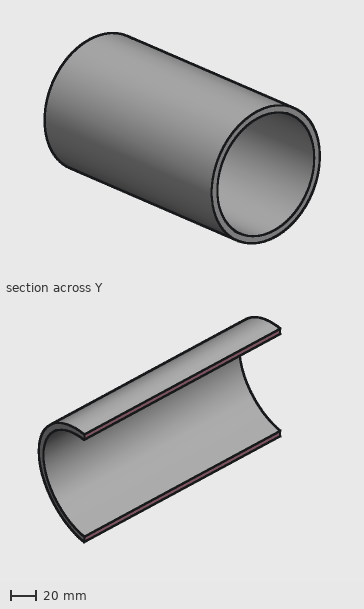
import cadquery as cq

length = 200.0
outer_diameter = 114.2
wall_thickness = 6.0
bore_diameter = outer_diameter - 2 * wall_thickness

result = (
    cq.Workplane("YZ", origin=(-length / 2, 0, 0))
    .circle(outer_diameter / 2)
    .circle(bore_diameter / 2)
    .extrude(length)
)